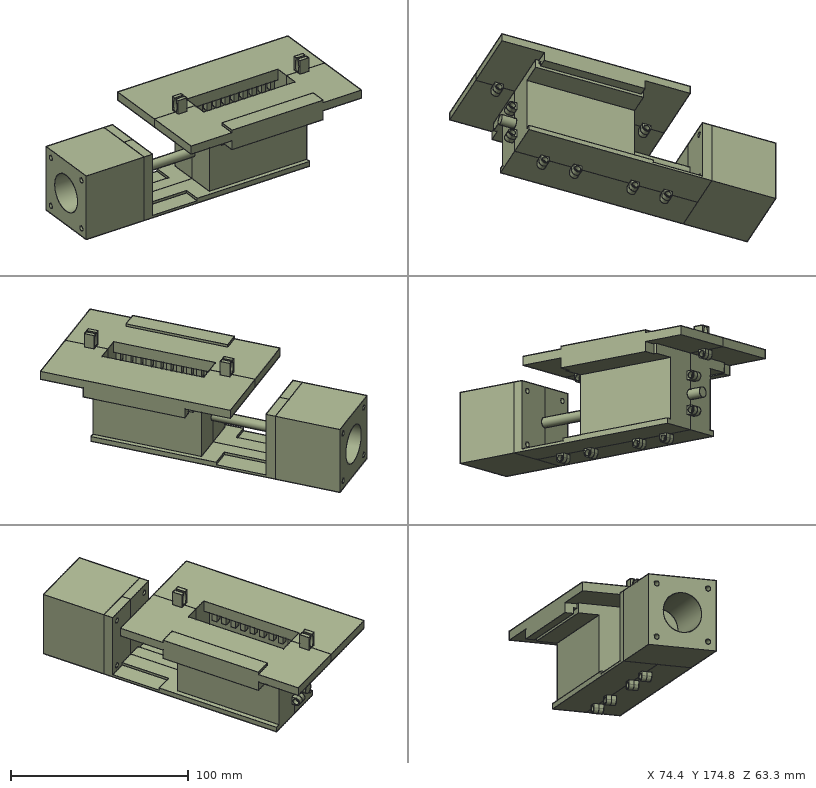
import cadquery as cq

LEFT = -1
RIGHT = 1

MOTOR_WIDTH = 40.7
MOTOR_LENGTH = 39.2
MOTOR_HEIGHT = 41.0
BORE_DIAMETER = 23.0
BORE_FLOOR = 2.0
SCREW_DIAMETER = 3.0
SCREW_SPACING = 31.0

ROD_DIAMETER = 6.0
ROD_Z = 20.5
ROD_END_Y = 160.0

BASE_THICKNESS = 3.1
BRACKET_THICKNESS = 5.8
BRACKET_Y = MOTOR_LENGTH + BRACKET_THICKNESS
POCKET_LENGTH = 30.0
POCKET_DEPTH = 1.5
POCKET_INNER_X = {LEFT: 8.2, RIGHT: 9.6}

WALL = 2.1
HOUSING_HALF_WIDTH = 17.5
HOUSING_FRONT_Y = 85.1
HOUSING_BACK_Y = 151.0
CAVITY_HALF_WIDTH = HOUSING_HALF_WIDTH - WALL
CAVITY_FRONT_Y = HOUSING_FRONT_Y + WALL
CAVITY_BACK_Y = HOUSING_BACK_Y - WALL
CEILING_THICKNESS = 1.7

PLATE_HALF_WIDTH = 37.2
PLATE_BACK_Y = 174.8
PLATE_FRONT_Y = 59.6
PLATE_BOTTOM_Z = 44.4
PLATE_TOP_Z = 49.6
CAVITY_TOP_Z = PLATE_BOTTOM_Z - CEILING_THICKNESS
SLOT_HALF_WIDTH = 8.7

FLANGE_HALF_WIDTH = 29.9
FLANGE_HEIGHT = 5.8
FLANGE_BOTTOM_Z = PLATE_BOTTOM_Z - FLANGE_HEIGHT
GROOVE_WIDTH = 2.1
GROOVE_HEIGHT = 3.3

STRIP_WIDTH = 10.1
STRIP_HEIGHT = 1.5

RIB_COUNT = 10
RIB_PITCH = 6.1
RIB_WIDTH = 3.0
RIB_REACH = 3.5
RIB_HEIGHT = 7.2

CLIP_HALF_WIDTH = 3.0
CLIP_LENGTH = 6.0
CLIP_HEIGHT = 8.7
CLIP_CENTRES_Y = (76.7, 159)
CLIP_END_GAP = 0.7
CLIP_MIDDLE_GAP = 1.7

EYELET_HALF_WIDTH = 3.0
EYELET_SIZE = 5.0
EYELET_HOLE = 3.5
PLATE_EYELETS_Y = (71.5, 161.7)
BASE_EYELETS_Y = (58.4, 78.5, 113.6, 133.5)
HOUSING_EYELETS_Z = (10.8, 31.0)
TURN_TO_BACK = 90


def block(x_range, y_range, z_range):
    """Axis-aligned box; each range is a pair of limits in either order."""
    (x0, x1), (y0, y1), (z0, z1) = (sorted(r) for r in (x_range, y_range, z_range))
    return cq.Workplane("XY").box(x1 - x0, y1 - y0, z1 - z0, centered=False).translate((x0, y0, z0))


def cylinder_along_y(diameter, y_start, y_end, x=0, z=ROD_Z):
    """Cylinder parallel to the rod."""
    disc = cq.Workplane("XZ", origin=(x, y_start, z)).circle(diameter / 2)
    return disc.extrude(y_start - y_end)


def screw_holes():
    """Cutter for the four screws through the motor and its bracket."""
    offset = SCREW_SPACING / 2
    cutter = cq.Workplane("XY")
    for x in (-offset, offset):
        for z in (ROD_Z - offset, ROD_Z + offset):
            cutter = cutter.add(cylinder_along_y(SCREW_DIAMETER, 0, BRACKET_Y, x, z))
    return cutter.combine()


def base(side):
    """Half of the floor with the motor bracket and a shallow corner pocket."""
    edge = side * MOTOR_WIDTH / 2
    floor = block((0, edge), (MOTOR_LENGTH, HOUSING_BACK_Y), (0, BASE_THICKNESS))
    pocket = block(
        (side * POCKET_INNER_X[side], edge),
        (BRACKET_Y, BRACKET_Y + POCKET_LENGTH),
        (BASE_THICKNESS - POCKET_DEPTH, BASE_THICKNESS),
    )
    bracket = block((0, edge), (MOTOR_LENGTH, BRACKET_Y), (0, MOTOR_HEIGHT))
    return floor.cut(pocket).union(bracket).cut(screw_holes())


def plate_and_housing(side):
    """Half of the housing walls, the flange around their top and the slotted plate."""
    housing_y = (HOUSING_FRONT_Y, HOUSING_BACK_Y)
    cavity_y = (CAVITY_FRONT_Y, CAVITY_BACK_Y)
    housing = block((0, side * HOUSING_HALF_WIDTH), housing_y, (BASE_THICKNESS, PLATE_BOTTOM_Z))
    flange = block((0, side * FLANGE_HALF_WIDTH), housing_y, (FLANGE_BOTTOM_Z, PLATE_BOTTOM_Z))
    cavity = block((0, side * CAVITY_HALF_WIDTH), cavity_y, (BASE_THICKNESS, CAVITY_TOP_Z))
    plate = block(
        (0, side * PLATE_HALF_WIDTH), (PLATE_FRONT_Y, PLATE_BACK_Y), (PLATE_BOTTOM_Z, PLATE_TOP_Z)
    )
    slot = block((0, side * SLOT_HALF_WIDTH), cavity_y, (CAVITY_TOP_Z, PLATE_TOP_Z))
    skirt = block(
        (side * FLANGE_HALF_WIDTH, side * PLATE_HALF_WIDTH), cavity_y, (FLANGE_BOTTOM_Z, PLATE_BOTTOM_Z)
    )
    return housing.union(flange).union(skirt).union(plate).cut(cavity).cut(slot)


def ribs(side):
    """Row of ribs that hang under the ceiling along one cavity wall."""
    inner_x = side * (CAVITY_HALF_WIDTH - RIB_REACH)
    row = cq.Workplane("XY")
    for i in range(RIB_COUNT):
        back_y = CAVITY_BACK_Y - i * RIB_PITCH
        row = row.add(
            block(
                (inner_x, side * CAVITY_HALF_WIDTH),
                (back_y - RIB_WIDTH, back_y),
                (CAVITY_TOP_Z - RIB_HEIGHT, CAVITY_TOP_Z),
            )
        )
    return row.combine()


def clip(side, centre_y):
    """One jaw of a clip: an upright block whose inner face is hollowed to an arc."""
    top_z = PLATE_TOP_Z + CLIP_HEIGHT
    jaw = (
        cq.Workplane("XZ", origin=(0, centre_y + CLIP_LENGTH / 2, 0))
        .moveTo(side * CLIP_END_GAP, PLATE_TOP_Z)
        .lineTo(side * CLIP_HALF_WIDTH, PLATE_TOP_Z)
        .lineTo(side * CLIP_HALF_WIDTH, top_z)
        .lineTo(side * CLIP_END_GAP, top_z)
        .threePointArc(
            (side * CLIP_MIDDLE_GAP, (PLATE_TOP_Z + top_z) / 2), (side * CLIP_END_GAP, PLATE_TOP_Z)
        )
        .close()
    )
    return jaw.extrude(CLIP_LENGTH)


def eyelet(side, y, z, turn=0):
    """Half of an eyelet that hangs from (y, z); turn rotates it about X, in degrees."""
    radius = EYELET_SIZE / 2
    loop = (
        cq.Workplane("YZ")
        .moveTo(-radius, 0)
        .lineTo(-radius, -radius)
        .threePointArc((0, -EYELET_SIZE), (radius, -radius))
        .lineTo(radius, 0)
        .close()
        .extrude(side * EYELET_HALF_WIDTH)
    )
    hole = cq.Workplane("YZ").center(0, -radius).circle(EYELET_HOLE / 2).extrude(side * EYELET_HALF_WIDTH)
    return loop.cut(hole).rotate((0, 0, 0), (1, 0, 0), turn).translate((0, y, z))


def eyelets(side):
    """All eyelet halves under the plate, under the base and on the back of the housing."""
    parts = [eyelet(side, y, PLATE_BOTTOM_Z) for y in PLATE_EYELETS_Y]
    parts += [eyelet(side, y, 0) for y in BASE_EYELETS_Y]
    parts += [eyelet(side, HOUSING_BACK_Y, z, TURN_TO_BACK) for z in HOUSING_EYELETS_Z]
    return parts


def frame_half(side):
    """Everything the two halves of the frame have."""
    half = base(side).union(plate_and_housing(side)).union(ribs(side))
    for centre_y in CLIP_CENTRES_Y:
        half = half.union(clip(side, centre_y))
    for part in eyelets(side):
        half = half.union(part)
    return half.cut(cylinder_along_y(ROD_DIAMETER, 0, ROD_END_Y))


def left_frame():
    """Left half, with a groove between the skirt and the flange."""
    groove = block(
        (-FLANGE_HALF_WIDTH - GROOVE_WIDTH, -FLANGE_HALF_WIDTH),
        (CAVITY_FRONT_Y, CAVITY_BACK_Y),
        (FLANGE_BOTTOM_Z, FLANGE_BOTTOM_Z + GROOVE_HEIGHT),
    )
    return frame_half(LEFT).cut(groove)


def right_frame():
    """Right half, with the raised strip on its outer edge."""
    strip = block(
        (PLATE_HALF_WIDTH - STRIP_WIDTH, PLATE_HALF_WIDTH),
        (CAVITY_FRONT_Y, CAVITY_BACK_Y),
        (PLATE_TOP_Z, PLATE_TOP_Z + STRIP_HEIGHT),
    )
    return frame_half(RIGHT).union(strip)


def motor_block():
    """Motor with a deep bore from the back and a hole for the rod in the bore's floor."""
    half_width = MOTOR_WIDTH / 2
    body = block((-half_width, half_width), (0, MOTOR_LENGTH), (0, MOTOR_HEIGHT))
    bore = cylinder_along_y(BORE_DIAMETER, 0, MOTOR_LENGTH - BORE_FLOOR)
    rod_hole = cylinder_along_y(ROD_DIAMETER, 0, MOTOR_LENGTH)
    return body.cut(bore).cut(rod_hole).cut(screw_holes())


def drive_rod():
    """Rod from the floor of the motor bore to beyond the housing."""
    return cylinder_along_y(ROD_DIAMETER, MOTOR_LENGTH - BORE_FLOOR, ROD_END_Y)


left_half = left_frame()
right_half = right_frame()
motor = motor_block()
rod = drive_rod()

result = cq.Compound.makeCompound([left_half.val(), right_half.val(), motor.val(), rod.val()])